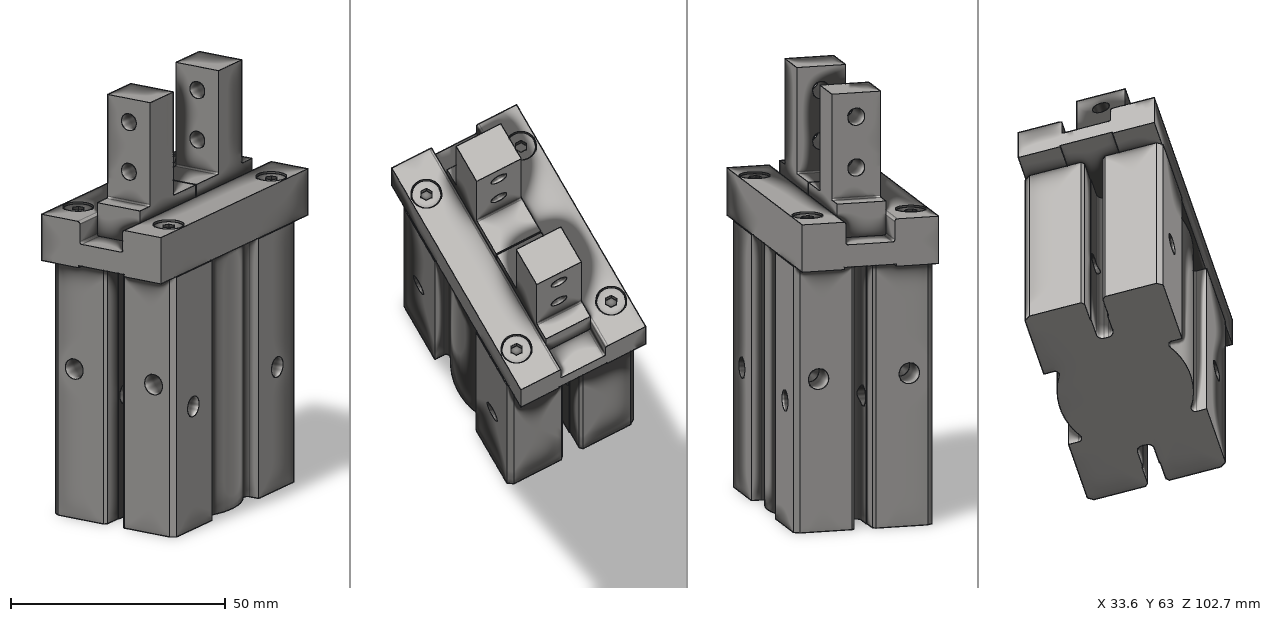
import cadquery as cq
import math

BODY_X = 33.6
BODY_Y = 52.1
BODY_HEIGHT = 63.5
CORNER_CHAMFER_X = 1.3
CORNER_CHAMFER_Y = 0.9

RECESS_HALF_WIDTH = 10.0
RECESS_WALL = 2.5
RECESS_FILLET = 0.98
BARREL_RADIUS = 16.4

SLOT_WIDTH = 4.4
SLOT_WALL_DEPTH = 5.1
SLOT_CHAMFER = 0.67
GROOVE_WIDTH = 4.0
GROOVE_DEPTH = 10.8
GROOVE_FLOOR_WIDTH = 1.0

HOLE_DIAMETER = 4.9
CROSS_HOLE_Y = 18.0
CROSS_HOLE_Z = 30.0
PORT_X = 11.0
PORT_Z = 36.5
PORT_DEPTH = 8.2
DRILL_TIP_ANGLE = 118.0

PLATE_X = 33.1
PLATE_Y = 63.0
PLATE_TOP = 74.8
RELIEF_WIDTH = 12.6
RELIEF_HEIGHT = 0.5
CHANNEL_WIDTH = 11.8
CHANNEL_FLOOR = 69.3
CHANNEL_EDGE_RADIUS = 0.6
CHANNEL_FILLET = 0.5

SCREW_X = 12.5
SCREW_Y = 22.0
SCREW_RECESS_DIAMETER = 7.2
SCREW_HEAD_DIAMETER = 6.8
SCREW_HEAD_DROP = 0.4
SCREW_GAP_DEPTH = 1.0
SOCKET_CORNERS = 3.0
SOCKET_DEPTH = 1.5

JAW_TOP = 102.7
JAW_BASE_TOP = 77.4
JAW_GAP = 0.3
JAW_OUTER_Y = 24.0
FINGER_INNER_Y = 9.7
FINGER_OUTER_Y = 19.6
FINGER_FILLET = 0.4
JAW_HOLE_DIAMETER = 4.1
JAW_HOLE_DROPS = (5.8, 17.9)


def half_turn(shape):
    """Copy of the shape turned half a turn about Z."""
    return shape.rotate((0, 0, 0), (0, 0, 1), 180)


def barrel_recess():
    """Cutter for the recess on the -X side, with the barrel left standing.

    Each corner fillet is tangent to the recess wall and to the barrel.
    """
    outside = -BODY_X / 2
    fillet_x = outside + RECESS_WALL
    fillet_y = RECESS_HALF_WIDTH - RECESS_FILLET
    centre_distance = BARREL_RADIUS + RECESS_FILLET
    barrel_angle = math.asin(fillet_y / centre_distance)
    barrel_x = fillet_x + centre_distance * math.cos(barrel_angle)
    edge_x = barrel_x - BARREL_RADIUS * math.cos(barrel_angle)
    edge_y = BARREL_RADIUS * math.sin(barrel_angle)
    bend_angle = (math.pi / 2 - barrel_angle) / 2
    bend_x = fillet_x + RECESS_FILLET * math.cos(bend_angle)
    bend_y = fillet_y + RECESS_FILLET * math.sin(bend_angle)
    return (
        cq.Workplane("XY")
        .moveTo(outside, RECESS_HALF_WIDTH)
        .lineTo(fillet_x, RECESS_HALF_WIDTH)
        .threePointArc((bend_x, bend_y), (edge_x, edge_y))
        .threePointArc((barrel_x - BARREL_RADIUS, 0), (edge_x, -edge_y))
        .threePointArc((bend_x, -bend_y), (fillet_x, -RECESS_HALF_WIDTH))
        .lineTo(outside, -RECESS_HALF_WIDTH)
        .close()
        .extrude(BODY_HEIGHT)
    )


def sensor_slot():
    """Cutter for the slot on the -Y side: chamfered mouth, straight walls and a rounded groove below."""
    mouth = -BODY_Y / 2
    half_slot = SLOT_WIDTH / 2
    half_mouth = half_slot + SLOT_CHAMFER
    slot = (
        cq.Workplane("XY")
        .polyline([
            (-half_mouth, mouth),
            (half_mouth, mouth),
            (half_slot, mouth + SLOT_CHAMFER),
            (half_slot, mouth + SLOT_WALL_DEPTH),
            (-half_slot, mouth + SLOT_WALL_DEPTH),
            (-half_slot, mouth + SLOT_CHAMFER),
        ])
        .close()
        .extrude(BODY_HEIGHT)
    )
    groove = (
        cq.Workplane("XY")
        .box(GROOVE_WIDTH, GROOVE_DEPTH, BODY_HEIGHT, centered=(True, False, False))
        .edges("|Z and >Y")
        .fillet((GROOVE_WIDTH - GROOVE_FLOOR_WIDTH) / 2)
        .translate((0, mouth, 0))
    )
    return slot.union(groove)


def port_hole(x):
    """Cutter for a blind hole with a drill tip, entering the -Y face."""
    radius = HOLE_DIAMETER / 2
    tip = radius / math.tan(math.radians(DRILL_TIP_ANGLE / 2))
    return (
        cq.Workplane("XY")
        .polyline([(0, 0), (radius, 0), (radius, PORT_DEPTH), (0, PORT_DEPTH + tip)])
        .close()
        .revolve(360, (0, 0), (0, 1))
        .translate((x, -BODY_Y / 2, PORT_Z))
    )


def body_block():
    """Rectangular block with its four upright corners cut off."""
    half_x = BODY_X / 2
    half_y = BODY_Y / 2
    flat_x = half_x - CORNER_CHAMFER_X
    flat_y = half_y - CORNER_CHAMFER_Y
    return (
        cq.Workplane("XY")
        .polyline([
            (flat_x, -half_y),
            (half_x, -flat_y),
            (half_x, flat_y),
            (flat_x, half_y),
            (-flat_x, half_y),
            (-half_x, flat_y),
            (-half_x, -flat_y),
            (-flat_x, -half_y),
        ])
        .close()
        .extrude(BODY_HEIGHT)
    )


def make_body():
    body = body_block()
    for cutter in (barrel_recess(), sensor_slot()):
        body = body.cut(cutter).cut(half_turn(cutter))
    cross_holes = (
        cq.Workplane("YZ", origin=(-BODY_X / 2, 0, CROSS_HOLE_Z))
        .pushPoints([(-CROSS_HOLE_Y, 0), (CROSS_HOLE_Y, 0)])
        .circle(HOLE_DIAMETER / 2)
        .extrude(BODY_X)
    )
    return body.cut(cross_holes).cut(port_hole(-PORT_X)).cut(port_hole(PORT_X))


def jaw_channel():
    """Cutter for the guide channel along Y, with rounded upper edges and filleted floor corners."""
    floor_half = CHANNEL_WIDTH / 2
    top_half = floor_half + CHANNEL_EDGE_RADIUS
    edge_bottom = PLATE_TOP - CHANNEL_EDGE_RADIUS
    bend = CHANNEL_EDGE_RADIUS * (1 - math.sqrt(0.5))
    return (
        cq.Workplane("XZ", origin=(0, PLATE_Y / 2, 0))
        .moveTo(-floor_half, CHANNEL_FLOOR)
        .lineTo(floor_half, CHANNEL_FLOOR)
        .lineTo(floor_half, edge_bottom)
        .threePointArc((floor_half + bend, PLATE_TOP - bend), (top_half, PLATE_TOP))
        .lineTo(-top_half, PLATE_TOP)
        .threePointArc((-floor_half - bend, PLATE_TOP - bend), (-floor_half, edge_bottom))
        .close()
        .extrude(PLATE_Y)
        .edges("|Y and <Z")
        .fillet(CHANNEL_FILLET)
    )


def screw_recesses():
    """Cutter that leaves four screw heads standing in round recesses, each with a hex socket."""
    head_top = PLATE_TOP - SCREW_HEAD_DROP
    centres = [(x, y) for x in (-SCREW_X, SCREW_X) for y in (-SCREW_Y, SCREW_Y)]
    top_plane = cq.Workplane("XY", origin=(0, 0, PLATE_TOP)).pushPoints(centres)
    head_plane = cq.Workplane("XY", origin=(0, 0, head_top)).pushPoints(centres)
    recesses = top_plane.circle(SCREW_RECESS_DIAMETER / 2).extrude(-SCREW_HEAD_DROP)
    gaps = (
        head_plane
        .circle(SCREW_RECESS_DIAMETER / 2)
        .circle(SCREW_HEAD_DIAMETER / 2)
        .extrude(-SCREW_GAP_DEPTH)
    )
    sockets = head_plane.polygon(6, SOCKET_CORNERS).extrude(-SOCKET_DEPTH)
    return recesses.union(gaps).union(sockets)


def make_plate():
    plate = (
        cq.Workplane("XY", origin=(0, 0, BODY_HEIGHT))
        .box(PLATE_X, PLATE_Y, PLATE_TOP - BODY_HEIGHT, centered=(True, True, False))
    )
    relief = (
        cq.Workplane("XY", origin=(0, 0, BODY_HEIGHT))
        .box(RELIEF_WIDTH, PLATE_Y, RELIEF_HEIGHT, centered=(True, True, False))
    )
    return plate.cut(relief).cut(jaw_channel()).cut(screw_recesses())


def make_housing():
    """Body and guide plate as one solid."""
    return make_body().union(make_plate())


def make_jaw():
    """Jaw on the -Y side: a base sliding in the channel and an upright finger with two holes."""
    base_length = JAW_OUTER_Y - JAW_GAP / 2
    finger_thickness = FINGER_OUTER_Y - FINGER_INNER_Y
    base = (
        cq.Workplane("XY")
        .box(CHANNEL_WIDTH, base_length, JAW_BASE_TOP - CHANNEL_FLOOR, centered=(True, False, False))
        .edges("|Y and <Z")
        .fillet(CHANNEL_FILLET)
        .translate((0, -JAW_OUTER_Y, CHANNEL_FLOOR))
    )
    finger = (
        cq.Workplane("XY", origin=(0, -FINGER_OUTER_Y, JAW_BASE_TOP))
        .box(CHANNEL_WIDTH, finger_thickness, JAW_TOP - JAW_BASE_TOP, centered=(True, False, False))
    )
    root_edges = cq.selectors.BoxSelector(
        (-CHANNEL_WIDTH, -FINGER_OUTER_Y - FINGER_FILLET, JAW_BASE_TOP - FINGER_FILLET),
        (CHANNEL_WIDTH, -FINGER_INNER_Y + FINGER_FILLET, JAW_BASE_TOP + FINGER_FILLET),
    )
    holes = (
        cq.Workplane("XZ", origin=(0, 0, JAW_TOP))
        .pushPoints([(0, -drop) for drop in JAW_HOLE_DROPS])
        .circle(JAW_HOLE_DIAMETER / 2)
        .extrude(JAW_OUTER_Y)
    )
    jaw = base.union(finger).edges(root_edges).edges("|X").fillet(FINGER_FILLET)
    return jaw.cut(holes)


housing = make_housing()
jaws = [make_jaw(), half_turn(make_jaw())]
result = cq.Compound.makeCompound([housing.val(), *[jaw.val() for jaw in jaws]])